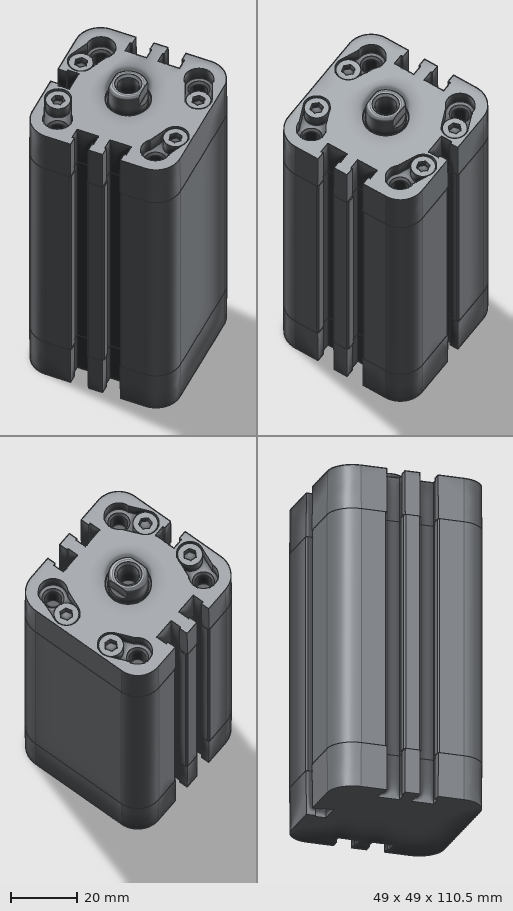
import cadquery as cq
import math


body_width = 49.0
body_half = body_width / 2
total_height = 110.5
rod_projection = 6.5
cap_height = 14.1
corner_radius = 8.1
cap_draft = 0.6
body_top = total_height - rod_projection
barrel_top = body_top - cap_height

slot_depth = 6.6
lip_depth = 3.0
slot_width = 7.1
slot_offset = 5.4
barrel_mouth = 5.3
mouth_chamfer = 0.5
cap_mouth = 5.5
cap_rib_width = 4.8
cap_mouth_edge = 8.2

pocket_depth = 4.4
hole_position = 16.1
hole_pocket_diameter = 9.0
hole_diameter = 5.2
hole_depth = 6.6
hole_chamfer_diameter = 6.6
screw_x = 19.3
screw_y = 8.5
screw_pocket_diameter = 8.2
screw_diameter = 7.5
screw_recess = 0.5
socket_sides = 6
socket_flats = 3.5
socket_depth = 2.2
socket_turn = 45.0
turned_socket_turn = 15.0

rod_diameter = 12.0
rod_edge_radius = 1.2
rod_flats = 10.0
rod_flat_height = 4.4
rod_bore_diameter = 6.6
rod_bore_depth = 11.0
rod_bore_chamfer_diameter = 8.2
wiper_diameter = 12.5
wiper_depth = 1.1
collar_diameter = 13.7
collar_depth = 0.8
collar_rim_diameter = 14.0


def rounded_block(height, draft=0.0):
    """Square block with rounded corners, standing on z = 0."""
    return (
        cq.Workplane("XY")
        .sketch()
        .rect(body_width, body_width)
        .vertices()
        .fillet(corner_radius)
        .finalize()
        .extrude(height, taper=draft)
    )


def box(x_min, x_max, y_min, y_max, height):
    """Plain block between the given X and Y limits, standing on z = 0."""
    block = cq.Workplane("XY").box(x_max - x_min, y_max - y_min, height, centered=False)
    return block.translate((x_min, y_min, 0))


def slot_cutter(height, mouth_min, mouth_max, offset):
    """T-slot opening through the +Y side."""
    floor = body_half - slot_depth
    lip = body_half - lip_depth
    chamber = box(offset - slot_width / 2, offset + slot_width / 2, floor, lip, height)
    mouth = box(mouth_min, mouth_max, lip, body_half, height)
    return chamber.union(mouth)


def chamfered_slot_cutter(height, offset):
    """T-slot through the +Y side whose mouth edges are chamfered."""
    half = barrel_mouth / 2
    edges = (
        cq.Workplane("XY")
        .polyline([
            (offset - half, body_half - mouth_chamfer),
            (offset + half, body_half - mouth_chamfer),
            (offset + half + mouth_chamfer, body_half),
            (offset - half - mouth_chamfer, body_half),
        ])
        .close()
        .extrude(height)
    )
    return slot_cutter(height, offset - half, offset + half, offset).union(edges)


def cut_slots(block, pair_slot, single_slot):
    """Cut the pair slot at four places and the single slot on the -X side."""
    mirrored = pair_slot.mirror("YZ")
    for cutter in (pair_slot, mirrored):
        block = block.cut(cutter).cut(cutter.mirror("XZ"))
    return block.cut(single_slot.rotate((0, 0, 0), (0, 0, 1), 90))


def make_barrel():
    height = barrel_top - cap_height
    barrel = cut_slots(
        rounded_block(height),
        chamfered_slot_cutter(height, slot_offset),
        chamfered_slot_cutter(height, 0),
    )
    return barrel.translate((0, 0, cap_height))


def make_cap_blank():
    """Slotted cap with its wide end on z = 0."""
    return cut_slots(
        rounded_block(cap_height, cap_draft),
        slot_cutter(cap_height, cap_rib_width / 2, cap_mouth_edge, slot_offset),
        slot_cutter(cap_height, -cap_mouth / 2, cap_mouth / 2, 0),
    )


def disc(diameter, z, height, x=0.0, y=0.0):
    """Upright cylinder rising from z."""
    return cq.Workplane("XY", origin=(x, y, z)).circle(diameter / 2).extrude(height)


def cone(d_bottom, d_top, z, height, x=0.0, y=0.0):
    """Upright truncated cone rising from z."""
    solid = cq.Solid.makeCone(d_bottom / 2, d_top / 2, height, cq.Vector(x, y, z))
    return cq.Workplane(obj=solid)


def pocket_cutter():
    """Pocket and threaded hole in the +X +Y corner."""
    floor = body_top - pocket_depth
    run_x = hole_position - screw_x
    run_y = hole_position - screw_y
    middle = ((hole_position + screw_x) / 2, (hole_position + screw_y) / 2, floor)
    slot = (
        cq.Workplane("XY", origin=middle)
        .slot2D(
            math.hypot(run_x, run_y) + screw_pocket_diameter,
            screw_pocket_diameter,
            math.degrees(math.atan2(run_y, run_x)),
        )
        .extrude(pocket_depth)
    )
    round_end = disc(hole_pocket_diameter, floor, pocket_depth, hole_position, hole_position)
    hole = disc(hole_diameter, floor - hole_depth, hole_depth, hole_position, hole_position)
    chamfer = (hole_chamfer_diameter - hole_diameter) / 2
    countersink = cone(
        hole_diameter, hole_chamfer_diameter, floor - chamfer, chamfer, hole_position, hole_position
    )
    return slot.union(round_end).union(hole).union(countersink)


def screw_head(x, y, turn):
    """Socket head standing on a pocket floor, one piece with the top cap."""
    floor = body_top - pocket_depth
    top = body_top - screw_recess
    socket = (
        cq.Workplane("XY")
        .polygon(socket_sides, socket_flats / math.cos(math.pi / socket_sides))
        .extrude(socket_depth)
        .rotate((0, 0, 0), (0, 0, 1), turn)
        .translate((x, y, top - socket_depth))
    )
    return disc(screw_diameter, floor, top - floor, x, y).cut(socket)


def make_top_cap():
    cap = make_cap_blank().translate((0, 0, barrel_top))
    pocket = pocket_cutter()
    for side_x in (1, -1):
        for side_y in (1, -1):
            cutter = pocket if side_x == 1 else pocket.mirror("YZ")
            cutter = cutter if side_y == 1 else cutter.mirror("XZ")
            turn = turned_socket_turn if side_x == side_y == -1 else socket_turn
            screw = screw_head(side_x * screw_x, side_y * screw_y, turn)
            cap = cap.cut(cutter).union(screw)
    passage = disc(rod_diameter, barrel_top, cap_height)
    wiper_groove = disc(wiper_diameter, body_top - wiper_depth, wiper_depth)
    collar = disc(collar_diameter, body_top - collar_depth, collar_depth)
    chamfer = (collar_rim_diameter - collar_diameter) / 2
    rim = cone(collar_diameter, collar_rim_diameter, body_top - chamfer, chamfer)
    return cap.cut(passage).cut(wiper_groove).cut(collar).cut(rim)


def make_bottom_cap():
    return make_cap_blank().mirror("XY").translate((0, 0, cap_height))


def make_rod():
    radius = rod_diameter / 2
    rod = disc(rod_diameter, barrel_top, total_height - barrel_top)
    rod = rod.faces(">Z").edges().fillet(rod_edge_radius)

    flat_bottom = total_height - rod_flat_height
    slope = radius - rod_flats / 2
    flat = (
        cq.Workplane("XZ")
        .polyline([
            (rod_flats / 2, total_height),
            (rod_flats / 2, flat_bottom),
            (radius, flat_bottom - slope),
            (radius, total_height),
        ])
        .close()
        .extrude(radius, both=True)
    )
    rod = rod.cut(flat).cut(flat.mirror("YZ"))

    bore = disc(rod_bore_diameter, total_height - rod_bore_depth, rod_bore_depth)
    chamfer = (rod_bore_chamfer_diameter - rod_bore_diameter) / 2
    countersink = cone(rod_bore_diameter, rod_bore_chamfer_diameter, total_height - chamfer, chamfer)
    return rod.cut(bore).cut(countersink)


barrel = make_barrel()
bottom_cap = make_bottom_cap()
top_cap = make_top_cap()
rod = make_rod()

result = cq.Compound.makeCompound([barrel.val(), bottom_cap.val(), top_cap.val(), rod.val()])